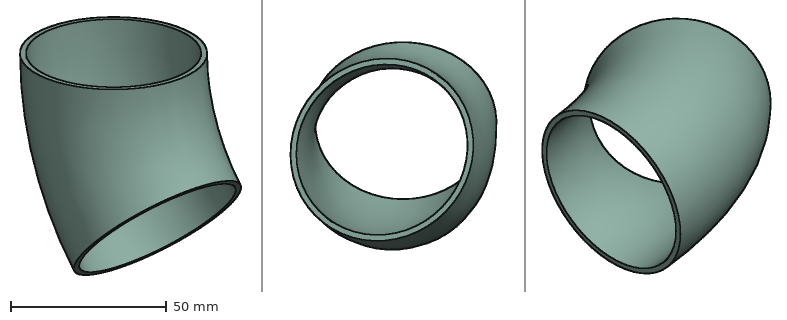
import cadquery as cq
import math

height = 75.05
outer_diameter = 60.3
wall = 1.95
bend_angle = 45.0

outer_radius = outer_diameter / 2
inner_radius = outer_radius - wall
bend_radius = height / math.sin(math.radians(bend_angle)) - outer_radius

ring = cq.Workplane("XY").circle(outer_radius).circle(inner_radius)
result = ring.revolve(bend_angle, (bend_radius, 0), (bend_radius, -1))